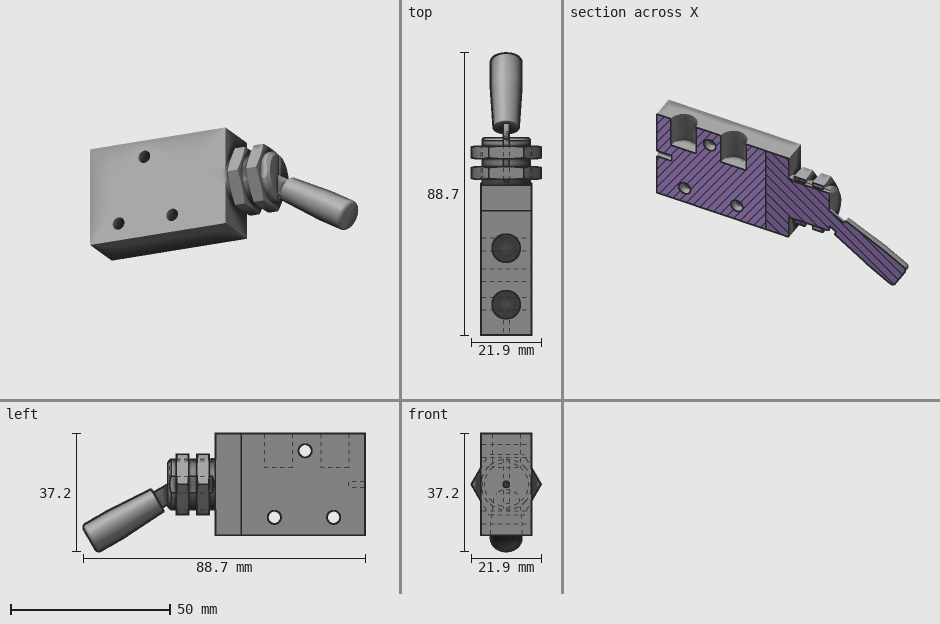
import cadquery as cq
import math


BODY_WIDTH = 16.0
BODY_HEIGHT = 32.0
BODY_LENGTH = 39.0
CAP_LENGTH = 8.1
CAP_END = BODY_LENGTH + CAP_LENGTH

PORT_DIAMETER = 8.9
PORT_DEPTH = 10.6
PORT_PITCH = 17.7
FIRST_PORT_Y = 9.6

MOUNT_DIAMETER = 4.1
LOWER_MOUNT_Y = 9.9
LOWER_MOUNT_PITCH = 18.6
LOWER_MOUNT_Z = -10.4
UPPER_MOUNT_Y = 18.9
UPPER_MOUNT_Z = 10.55

VENT_DIAMETER = 1.95
VENT_DEPTH = 5.3

NECK_RADIUS = BODY_WIDTH / 2
NECK_LENGTH = 15.0
NECK_CHAMFER = 1.1
NECK_END = CAP_END + NECK_LENGTH
FLAT_DISTANCE = 7.5
FLAT_START = CAP_END + 1.0
KEYWAY_WIDTH = 1.95
KEYWAY_FLOOR_RADIUS = 7.45
KEYWAY_START = CAP_END + 1.1
LEVER_SLOT_DEPTH = 0.5

NUT_COUNT = 2
NUT_SIDES = 6
NUT_ACROSS_FLATS = 19.0
NUT_THICKNESS = 4.0
NUT_PITCH = 6.5
FIRST_NUT_Y = CAP_END + 1.9
NUT_CHAMFER_ANGLE = 12.0
NUT_CHAMFER_REACH = 1.8

LEVER_ANGLE = 30.0
PIVOT_Y = NECK_END - 5.4
LEVER_WIDTH = 5.5
LEVER_THICKNESS = 1.95
HANDLE_START = 9.9
TAPER_LENGTH = 14.8
GRIP_LENGTH = 9.9
HANDLE_SMALL_RADIUS = 4.1
HANDLE_EDGE_ROUNDING = 0.3
GRIP_RADIUS = 5.0
GRIP_ROUNDING = 1.3


def box_between(x_range, y_range, z_range):
    """Box given by its lowest and highest coordinate on each axis."""
    (x0, x1), (y0, y1), (z0, z1) = x_range, y_range, z_range
    return cq.Workplane("XY").box(x1 - x0, y1 - y0, z1 - z0, centered=False).translate((x0, y0, z0))


def y_cylinder(radius, y_start, length):
    """Cylinder about the neck axis."""
    return cq.Workplane("XZ", origin=(0, y_start, 0)).circle(radius).extrude(-length)


def make_valve_body():
    """Block with two top ports, three cross holes and a front vent."""
    half_width = BODY_WIDTH / 2
    half_height = BODY_HEIGHT / 2
    body = box_between((-half_width, half_width), (0, BODY_LENGTH), (-half_height, half_height))

    port_points = [(0, FIRST_PORT_Y), (0, FIRST_PORT_Y + PORT_PITCH)]
    ports = (
        cq.Workplane("XY", origin=(0, 0, half_height))
        .pushPoints(port_points)
        .circle(PORT_DIAMETER / 2)
        .extrude(-PORT_DEPTH)
    )
    mount_points = [
        (LOWER_MOUNT_Y, LOWER_MOUNT_Z),
        (LOWER_MOUNT_Y + LOWER_MOUNT_PITCH, LOWER_MOUNT_Z),
        (UPPER_MOUNT_Y, UPPER_MOUNT_Z),
    ]
    mounts = (
        cq.Workplane("YZ")
        .pushPoints(mount_points)
        .circle(MOUNT_DIAMETER / 2)
        .extrude(half_width, both=True)
    )
    vent = y_cylinder(VENT_DIAMETER / 2, 0, VENT_DEPTH)
    return body.cut(ports).cut(mounts).cut(vent)


def make_side_flat():
    """Cutter for the flat on the +X side of the neck, ending in a 45 degree ramp toward the cap."""
    depth = NECK_RADIUS - FLAT_DISTANCE
    return (
        cq.Workplane("XY")
        .moveTo(FLAT_DISTANCE, NECK_END)
        .lineTo(FLAT_DISTANCE, FLAT_START)
        .lineTo(NECK_RADIUS, FLAT_START - depth)
        .lineTo(NECK_RADIUS, NECK_END)
        .close()
        .extrude(NECK_RADIUS, both=True)
    )


def make_keyway():
    """Cutter for the round-ended keyway along the top of the neck."""
    half_width = KEYWAY_WIDTH / 2
    arc_y = KEYWAY_START + half_width
    keyway = (
        cq.Workplane("XY")
        .moveTo(-half_width, NECK_END)
        .lineTo(-half_width, arc_y)
        .threePointArc((0, KEYWAY_START), (half_width, arc_y))
        .lineTo(half_width, NECK_END)
        .close()
        .extrude(NECK_RADIUS)
    )
    return keyway.cut(y_cylinder(KEYWAY_FLOOR_RADIUS, CAP_END, NECK_LENGTH))


def make_lever_slot():
    """Cutter for the shallow upright slot across the end of the neck, as wide as the keyway."""
    half_width = KEYWAY_WIDTH / 2
    return box_between(
        (-half_width, half_width),
        (NECK_END - LEVER_SLOT_DEPTH, NECK_END),
        (-NECK_RADIUS, NECK_RADIUS),
    )


def make_neck():
    """Threaded neck with a chamfered end, two side flats, a keyway and a lever slot."""
    neck = y_cylinder(NECK_RADIUS, CAP_END, NECK_LENGTH).faces(">Y").chamfer(NECK_CHAMFER)
    side_flat = make_side_flat()
    neck = neck.cut(side_flat).cut(side_flat.mirror("YZ"))
    return neck.cut(make_keyway()).cut(make_lever_slot())


def make_lever():
    """Flat lever with a tapered round handle, tilted down about the pivot."""
    handle_end = HANDLE_START + TAPER_LENGTH + GRIP_LENGTH
    handle = (
        cq.Workplane("XY")
        .moveTo(0, HANDLE_START)
        .lineTo(HANDLE_SMALL_RADIUS, HANDLE_START)
        .lineTo(GRIP_RADIUS, HANDLE_START + TAPER_LENGTH)
        .lineTo(GRIP_RADIUS, handle_end)
        .lineTo(0, handle_end)
        .close()
        .revolve(360, (0, 0, 0), (0, 1, 0))
        .faces(">Y")
        .edges()
        .fillet(GRIP_ROUNDING)
        .faces("<Y")
        .edges()
        .fillet(HANDLE_EDGE_ROUNDING)
    )
    half_thickness = LEVER_THICKNESS / 2
    half_width = LEVER_WIDTH / 2
    plate = box_between((-half_thickness, half_thickness), (0, HANDLE_START), (-half_width, half_width))
    return (
        handle.union(plate)
        .rotate((0, 0, 0), (1, 0, 0), -LEVER_ANGLE)
        .translate((0, PIVOT_Y, 0))
    )


def make_toggle_head():
    """End cap, threaded neck and lever as one operating head."""
    half_width = BODY_WIDTH / 2
    half_height = BODY_HEIGHT / 2
    cap = box_between((-half_width, half_width), (BODY_LENGTH, CAP_END), (-half_height, half_height))
    return cap.union(make_neck()).union(make_lever())


def make_nut(y_start):
    """Hexagon nut with corners on the X axis, chamfered on both faces and bored to the neck diameter."""
    flat_radius = NUT_ACROSS_FLATS / 2
    corner_radius = flat_radius / math.cos(math.pi / NUT_SIDES)
    chamfer_height = NUT_CHAMFER_REACH * math.tan(math.radians(NUT_CHAMFER_ANGLE))
    hexagon = (
        cq.Workplane("XZ", origin=(0, y_start, 0))
        .polygon(NUT_SIDES, 2 * corner_radius)
        .circle(NECK_RADIUS)
        .extrude(-NUT_THICKNESS)
    )
    envelope = (
        y_cylinder(flat_radius + NUT_CHAMFER_REACH, y_start, NUT_THICKNESS)
        .faces("<Y or >Y")
        .chamfer(chamfer_height, NUT_CHAMFER_REACH)
    )
    return hexagon.intersect(envelope)


valve_body = make_valve_body()
toggle_head = make_toggle_head()
nuts = [make_nut(FIRST_NUT_Y + index * NUT_PITCH) for index in range(NUT_COUNT)]

result = cq.Compound.makeCompound([valve_body.val(), toggle_head.val(), *[nut.val() for nut in nuts]])